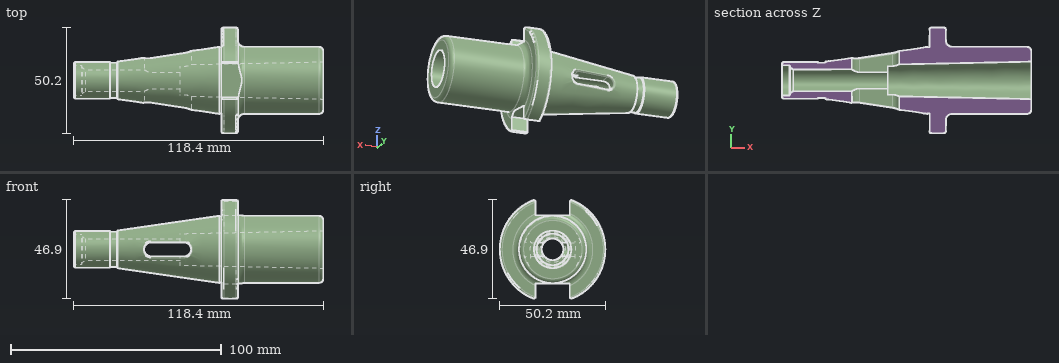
import cadquery as cq
import math

length = 118.4

pilot_radius = 8.8
pilot_end = 17.4
pilot_chamfer = 0.7
neck_radius = 8.4
neck_step = 0.4

taper_start = 20.8
taper_start_radius = 9.0
taper_end = 69.0
taper_end_radius = 16.0
relief_radius = 15.7

flange_start = 70.0
flange_end = 77.9
flange_radius = 25.1
flange_edge_radius = 1.1
drive_slot_width = 16.1
drive_slot_floor = 16.2
drive_slot_chamfer = 1.0

body_radius = 16.0
body_root_fillet = 3.0
body_end_fillet = 2.1

drawbar_hole_radius = 5.1
counterbore_radius = 7.1
counterbore_depth = 3.7
mouth_bevel_width = 0.6
mouth_bevel_depth = 0.4
lead_in_radius = 6.0
lead_in_start = 4.0
lead_in_end = 5.5
socket_start = 50.2
socket_start_radius = 7.5
socket_mouth_radius = 8.9

ejection_slot_start = 33.4
ejection_slot_end = 55.6
ejection_slot_width = 6.5
ejection_slot_edge_radius = 0.5


def revolve_about_x(profile):
    """Turn an XZ half profile into a solid of revolution about the X axis."""
    return profile.close().revolve(360, (0, 0, 0), (1, 0, 0))


def turned_shank():
    """Pilot, neck, taper and body, with the root fillet rising to the flange."""
    diagonal = math.sqrt(0.5)
    root_mid_offset = body_root_fillet * (1 - diagonal)
    end_mid_offset = body_end_fillet * (1 - diagonal)
    return revolve_about_x(
        cq.Workplane("XZ")
        .moveTo(0, 0)
        .lineTo(0, pilot_radius - pilot_chamfer)
        .lineTo(pilot_chamfer, pilot_radius)
        .lineTo(pilot_end - neck_step, pilot_radius)
        .lineTo(pilot_end, neck_radius)
        .lineTo(taper_start - neck_step, neck_radius)
        .lineTo(taper_start, taper_start_radius)
        .lineTo(taper_end, taper_end_radius)
        .lineTo(taper_end, relief_radius)
        .lineTo(flange_end, relief_radius)
        .lineTo(flange_end, body_radius + body_root_fillet)
        .threePointArc(
            (flange_end + root_mid_offset, body_radius + root_mid_offset),
            (flange_end + body_root_fillet, body_radius),
        )
        .lineTo(length - body_end_fillet, body_radius)
        .threePointArc(
            (length - end_mid_offset, body_radius - end_mid_offset),
            (length, body_radius - body_end_fillet),
        )
        .lineTo(length, 0)
    )


def drive_slots():
    """Two flat-floored drive slots, one above and one below the axis."""
    slot_length = flange_end + body_root_fillet - flange_start
    slot_depth = flange_radius - drive_slot_floor
    upper_slot = (
        cq.Workplane("XY")
        .box(slot_length, drive_slot_width, slot_depth, centered=(False, True, False))
        .translate((flange_start, 0, drive_slot_floor))
    )
    return upper_slot.union(upper_slot.mirror("XY"))


def flange():
    """Flange disc with a rounded rim and two drive slots whose outer corners are chamfered."""
    thickness = flange_end - flange_start
    disc = cq.Workplane("YZ").workplane(offset=flange_start).circle(flange_radius).extrude(thickness)
    slotted_disc = disc.cut(drive_slots())
    corner_y = drive_slot_width / 2
    corner_z = math.sqrt(flange_radius**2 - corner_y**2)
    for y_side in (1, -1):
        for z_side in (1, -1):
            corner = (flange_start + thickness / 2, y_side * corner_y, z_side * corner_z)
            slotted_disc = slotted_disc.edges(cq.NearestToPointSelector(corner)).chamfer(drive_slot_chamfer)
    rounded_disc = disc.edges().fillet(flange_edge_radius)
    return slotted_disc.intersect(rounded_disc)


def axial_bores():
    """Through hole, stepped small-end mouth and tapered socket."""
    return revolve_about_x(
        cq.Workplane("XZ")
        .moveTo(0, 0)
        .lineTo(0, counterbore_radius + mouth_bevel_width)
        .lineTo(mouth_bevel_depth, counterbore_radius)
        .lineTo(counterbore_depth, counterbore_radius)
        .lineTo(lead_in_start, lead_in_radius)
        .lineTo(lead_in_end, drawbar_hole_radius)
        .lineTo(socket_start, drawbar_hole_radius)
        .lineTo(socket_start, socket_start_radius)
        .lineTo(length, socket_mouth_radius)
        .lineTo(length, 0)
    )


def ejection_slot():
    """Round-ended slot passing through the taper along Y."""
    slot_length = ejection_slot_end - ejection_slot_start
    slot_centre = (ejection_slot_start + ejection_slot_end) / 2
    return (
        cq.Workplane("XZ")
        .center(slot_centre, 0)
        .slot2D(slot_length, ejection_slot_width)
        .extrude(body_radius, both=True)
    )


def slotted_shank():
    """Turned shank cut by the ejection slot, with the slot's outer edges rounded."""
    shank = turned_shank().cut(ejection_slot())
    slot_region = cq.selectors.BoxSelector(
        (ejection_slot_start - ejection_slot_edge_radius, -body_radius, -ejection_slot_width),
        (ejection_slot_end + ejection_slot_edge_radius, body_radius, ejection_slot_width),
    )
    slot_rims = shank.edges(slot_region).edges("not |Y")
    return slot_rims.fillet(ejection_slot_edge_radius)


result = (
    slotted_shank()
    .cut(drive_slots())
    .union(flange())
    .cut(axial_bores())
    .cut(ejection_slot())
)